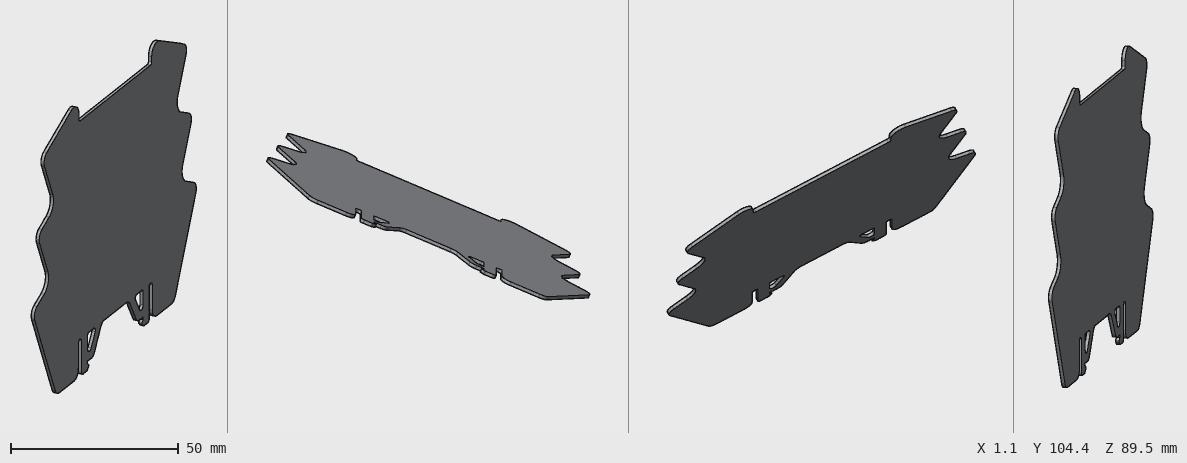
import cadquery as cq
import math

THICKNESS = 1.1
HALF_WIDTH = 104.4 / 2
HEIGHT = 89.5

TILT = math.radians(25)
TIER_COUNT = 3
TIER_INSET = 3.15
TIER_RISE = 23.9
TIP_RADIUS = 3.0
NOTCH_RADIUS = 4.8

HORN_INNER_Y = 23.4
HORN_RADIUS = 3.5
RECESS_FLOOR_Z = 83.5
RECESS_CORNER_RADIUS = 0.8

PEAK_Z = HEIGHT + HORN_RADIUS * (1 / math.cos(TILT) + math.tan(TILT) - 1)
FIRST_TIP_Y = HALF_WIDTH + TIP_RADIUS * (math.cos(TILT) + math.sin(TILT) - 1)
LAST_TIP_Y = FIRST_TIP_Y - (TIER_COUNT - 1) * TIER_INSET
LAST_TIP_Z = PEAK_Z - (LAST_TIP_Y - HORN_INNER_Y) * math.tan(TILT)
FIRST_TIP_Z = LAST_TIP_Z - (TIER_COUNT - 1) * TIER_RISE

FOOT_RADIUS = 3.0
SLOT_OUTER_Y = 23.75
SLOT_WIDTH = 1.85
SLOT_TOP_Z = 12.1
SLOT_TOP_RADIUS = 0.8

LEG_OUTER_Y = SLOT_OUTER_Y - SLOT_WIDTH
LEG_INNER_Y = 17.85
LEG_CORNER_RADIUS = 1.0
HOOK_TIP_Y = 16.9
HOOK_TIP_Z = 1.3
HOOK_TIP_RADIUS = 0.3
HOOK_TOE_RADIUS = 0.5

STRUT_LEAN = math.radians(31)
STRUT_TOP_Y = 8.6
STRUT_BOTTOM_Z = 3.0
STRUT_RADIUS = 2.5
WINDOW_INNER_Y = 12.2
WINDOW_TOP_RADIUS = 0.9
WINDOW_LEG_RADIUS = 0.7
WINDOW_BOTTOM_RADIUS = 1.2


def flank_corners():
    """Corners from the foot up to the horn on the +Y side, as (y, z, radius)."""
    shoulder_length = TIER_INSET * math.cos(TILT) + TIER_RISE * math.sin(TILT)
    corners = [(FIRST_TIP_Y - FIRST_TIP_Z * math.tan(TILT), 0, FOOT_RADIUS)]
    for tier in range(TIER_COUNT):
        y = FIRST_TIP_Y - tier * TIER_INSET
        z = FIRST_TIP_Z + tier * TIER_RISE
        corners.append((y, z, TIP_RADIUS))
        if tier < TIER_COUNT - 1:
            notch_y = y - shoulder_length * math.cos(TILT)
            notch_z = z + shoulder_length * math.sin(TILT)
            corners.append((notch_y, notch_z, NOTCH_RADIUS))
    return corners


def horn_corners():
    """Sharp peak of the horn, rounded down to HEIGHT, and the recess corner below it."""
    return [
        (HORN_INNER_Y, PEAK_Z, HORN_RADIUS),
        (HORN_INNER_Y, RECESS_FLOOR_Z, RECESS_CORNER_RADIUS),
    ]


def leg_corners():
    """Strut, hooked leg and slot, from the symmetry plane outward to the foot."""
    strut_height = SLOT_TOP_Z - STRUT_BOTTOM_Z
    strut_bottom_y = STRUT_TOP_Y + strut_height * math.tan(STRUT_LEAN)
    hook_overhang = LEG_INNER_Y - HOOK_TIP_Y
    return [
        (STRUT_TOP_Y, SLOT_TOP_Z, STRUT_RADIUS),
        (strut_bottom_y, STRUT_BOTTOM_Z, STRUT_RADIUS),
        (LEG_INNER_Y, STRUT_BOTTOM_Z, 0),
        (LEG_INNER_Y, HOOK_TIP_Z + hook_overhang, 0),
        (HOOK_TIP_Y, HOOK_TIP_Z, HOOK_TIP_RADIUS),
        (HOOK_TIP_Y + HOOK_TIP_Z, 0, HOOK_TOE_RADIUS),
        (LEG_OUTER_Y, 0, LEG_CORNER_RADIUS),
        (LEG_OUTER_Y, SLOT_TOP_Z, SLOT_TOP_RADIUS),
        (SLOT_OUTER_Y, SLOT_TOP_Z, SLOT_TOP_RADIUS),
        (SLOT_OUTER_Y, 0, FOOT_RADIUS),
    ]


def window_corners():
    """Triangular window with one side along the leg and one parallel to the strut."""
    apex_z = SLOT_TOP_Z - (LEG_INNER_Y - WINDOW_INNER_Y) / math.tan(STRUT_LEAN)
    return [
        (WINDOW_INNER_Y, SLOT_TOP_Z, WINDOW_TOP_RADIUS),
        (LEG_INNER_Y, SLOT_TOP_Z, WINDOW_LEG_RADIUS),
        (LEG_INNER_Y, apex_z, WINDOW_BOTTOM_RADIUS),
    ]


def mirrored(corners):
    """The same corners on the -Y side, in reverse order."""
    return [(-y, z, radius) for y, z, radius in reversed(corners)]


def rounded_plate(corners):
    """Plate centered on X = 0 whose closed outline rounds each corner by its radius."""
    points = [cq.Vector(y, z) for y, z, _ in corners]
    outline = None
    for index, (_, _, radius) in enumerate(corners):
        corner = points[index]
        to_previous = (points[index - 1] - corner).normalized()
        to_next = (points[(index + 1) % len(points)] - corner).normalized()
        half_angle = to_previous.getAngle(to_next) / 2
        setback = radius / math.tan(half_angle)
        start = (corner + to_previous * setback).toTuple()[:2]
        if outline is None:
            outline = cq.Workplane("YZ").moveTo(*start)
        else:
            outline = outline.lineTo(*start)
        if radius > 0:
            bisector = (to_previous + to_next).normalized()
            middle = corner + bisector * (radius / math.sin(half_angle) - radius)
            end = corner + to_next * setback
            outline = outline.threePointArc(middle.toTuple()[:2], end.toTuple()[:2])
    return outline.close().extrude(THICKNESS / 2, both=True)


half_outline = leg_corners() + flank_corners() + horn_corners()
result = rounded_plate(half_outline + mirrored(half_outline))
for window in (window_corners(), mirrored(window_corners())):
    result = result.cut(rounded_plate(window))